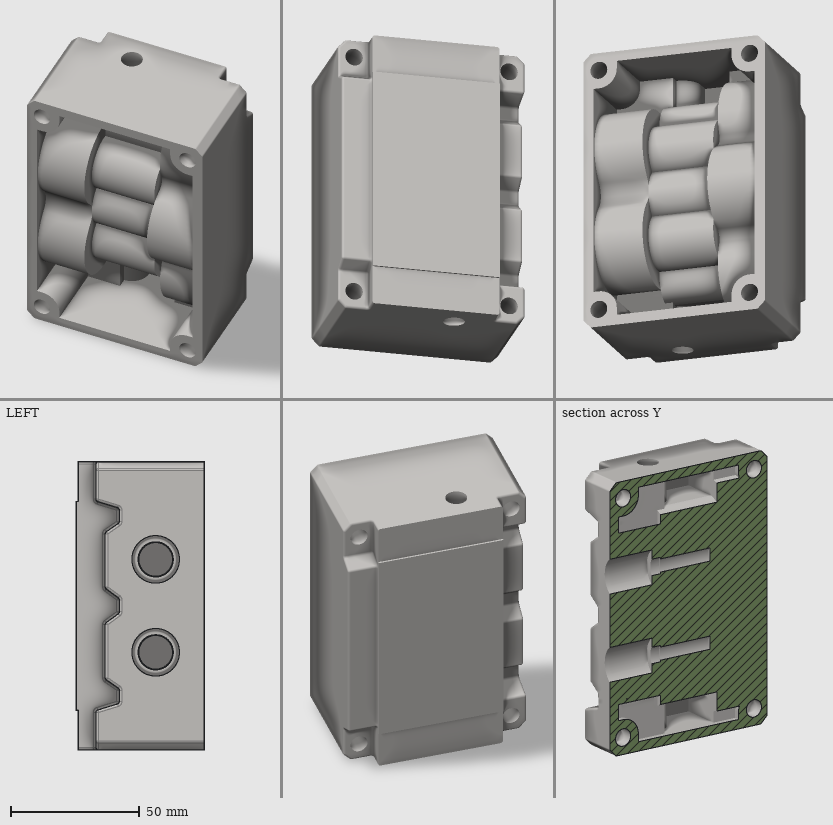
import cadquery as cq
import math


width = 75.0
height = 112.4
depth = 50.0
core_half_z = 40.7
pad_rise = 0.8
back_y = depth - pad_rise
corner_chamfer = 3.0
edge_radius = 1.0
ridge_edge_radius = 0.95
margin = 0.1

step_inner_x = 25.5
shelf_y = 42.3
notch_y = 33.2
tab_y = 38.7
ridge_y = 48.2
slant_start_z = 40.8
slant_end_z = 38.0
tab_outer_root_z = 32.4
tab_outer_top_z = 28.5
tab_inner_top_z = 6.9
tab_inner_root_z = 2.8

cavity_half_x = 33.3
cavity_half_z = 52.2
floor_y = 27.0
channel_floor_y = 43.8
channel_left_x = -10.0
left_mid_x = -13.4
mid_right_x = 13.4

screw_x = 31.1
screw_z = 49.1
screw_diameter = 7.0
screw_boss_radius = 7.4

port_z = 18.1
port_y = 19.0
port_boss_radius = 18.2
port_valley_radius = 7.2
sleeve_radius = 11.2
outer_sleeve_radius = 10.3
outer_sleeve_z = 30.6
outer_sleeve_y = 30.9
outer_boss_radius = 18.0
outer_boss_z = 30.0
outer_boss_y = 31.1
outer_valley_radius = 4.0

port_diameter = 18.5
port_depth = 20.0
passage_diameter = 13.7
seat_diameter = 13.2
seat_end_x = 10.0
pilot_x = channel_left_x
pilot_y = 38.1
pilot_diameter = 8.5
pilot_depth = 20.0
pilot_wall_radius = 7.3


def box(x0, x1, y0, y1, z0, z1):
    """Block between two opposite corners."""
    return cq.Workplane("XY").box(x1 - x0, y1 - y0, z1 - z0, centered=False).translate((x0, y0, z0))


def x_cylinder(x0, x1, y, z, radius):
    """Cylinder along X."""
    return cq.Workplane("YZ", origin=(x0, y, z)).circle(radius).extrude(x1 - x0)


def z_cylinder(x, y, z0, z1, radius):
    """Cylinder along Z."""
    return cq.Workplane("XY", origin=(x, y, z0)).circle(radius).extrude(z1 - z0)


def side_cut(x0, x1, upper_profile):
    """Material behind a step whose (y, z) profile is mirrored about Z = 0."""
    lower_profile = [(y, -z) for y, z in reversed(upper_profile)]
    beyond = height
    outline = [(beyond, beyond), (shelf_y, beyond)] + upper_profile + lower_profile
    outline += [(shelf_y, -beyond), (beyond, -beyond)]
    return cq.Workplane("YZ", origin=(x0, 0, 0)).polyline(outline).close().extrude(x1 - x0)


def outer_body():
    """Rounded block with both back steps and the mounting pad."""
    half_x = width / 2
    half_z = height / 2
    block = box(-half_x, half_x, 0, back_y, -half_z, half_z)
    block = block.edges("|Y").chamfer(corner_chamfer)
    block = block.edges("|Y").fillet(edge_radius)

    notch_profile = [
        (shelf_y, slant_start_z),
        (notch_y, slant_end_z),
        (notch_y, tab_outer_root_z),
        (tab_y, tab_outer_top_z),
        (tab_y, tab_inner_top_z),
        (notch_y, tab_inner_root_z),
    ]
    ridge_profile = [(shelf_y, slant_start_z), (ridge_y, slant_end_z)]
    block = block.cut(side_cut(-half_x - margin, -step_inner_x, notch_profile))
    block = block.cut(side_cut(step_inner_x, half_x + margin, ridge_profile))

    block = round_step(block, -half_x, -step_inner_x, edge_radius)
    block = round_step(block, step_inner_x, half_x, ridge_edge_radius)

    pad = box(-step_inner_x, step_inner_x, back_y, depth, -core_half_z, core_half_z)
    return block.union(pad)


def round_step(block, x0, x1, radius):
    """Round every edge of the step lying between x0 and x1."""
    low = (x0 - margin, notch_y - margin, -height)
    high = (x1 + margin, back_y - margin, height)
    return block.edges(cq.selectors.BoxSelector(low, high)).fillet(radius)


def cavity():
    """Open front space: two shallow floors, a deeper middle channel and four solid corners."""
    half_x = cavity_half_x
    half_z = cavity_half_z
    space = box(-half_x, half_x, 0, floor_y, -half_z, half_z)
    space = space.union(box(channel_left_x, mid_right_x, 0, channel_floor_y, -half_z, half_z))
    for sign_x in (-1, 1):
        for sign_z in (-1, 1):
            space = space.cut(screw_corner(sign_x, sign_z))
    return space


def screw_corner(sign_x, sign_z):
    """Block filling a cavity corner, its free edge concentric with the screw hole."""
    inner_x = screw_x - screw_boss_radius
    inner_z = screw_z - screw_boss_radius
    x0, x1 = sorted((sign_x * inner_x, sign_x * width / 2))
    z0, z1 = sorted((sign_z * inner_z, sign_z * height / 2))
    free_edge = (sign_x * inner_x, 0, sign_z * inner_z)
    corner = box(x0, x1, 0, depth, z0, z1)
    corner = corner.edges("|Y").edges(cq.selectors.NearestToPointSelector(free_edge))
    return corner.fillet(screw_boss_radius)


def with_mirror(solid):
    """The solid joined with its mirror image about Z = 0."""
    return solid.union(solid.mirror("XY"))


def valley(x0, x1, first, second, valley_radius):
    """Material blending two walls, each given as (y, z, radius), by a concave arc on their front side."""
    y1, z1, radius1 = first
    y2, z2, radius2 = second
    span = math.hypot(y2 - y1, z2 - z1)
    reach1 = radius1 + valley_radius
    reach2 = radius2 + valley_radius
    along = (span**2 + reach1**2 - reach2**2) / (2 * span)
    across = math.sqrt(reach1**2 - along**2)
    dir_y = (y2 - y1) / span
    dir_z = (z2 - z1) / span
    arc_y = y1 + along * dir_y - across * dir_z
    arc_z = z1 + along * dir_z + across * dir_y
    corners = [(y1, z1), (y2, z2), (arc_y, arc_z)]
    filler = cq.Workplane("YZ", origin=(x0, 0, 0)).polyline(corners).close().extrude(x1 - x0)
    return filler.cut(x_cylinder(x0, x1, arc_y, arc_z, valley_radius))


def port_bosses():
    """Two blended walls around the side ports."""
    x0 = -cavity_half_x
    x1 = left_mid_x
    lower = (port_y, -port_z, port_boss_radius)
    upper = (port_y, port_z, port_boss_radius)
    walls = with_mirror(x_cylinder(x0, x1, *upper))
    walls = walls.union(box(x0, x1, port_y, floor_y, -port_z, port_z))
    return walls.union(valley(x0, x1, lower, upper, port_valley_radius))


def sleeves():
    """Three equal walls along the middle and a smaller one outside each end, joined to the channel floor."""
    x0 = left_mid_x
    x1 = mid_right_x
    walls = x_cylinder(x0, x1, port_y, 0, sleeve_radius)
    walls = walls.union(with_mirror(x_cylinder(x0, x1, port_y, port_z, sleeve_radius)))
    walls = walls.union(with_mirror(x_cylinder(x0, x1, outer_sleeve_y, outer_sleeve_z, outer_sleeve_radius)))
    walls = walls.union(box(x0, x1, port_y, channel_floor_y, -port_z, port_z))
    walls = walls.union(box(x0, x1, outer_sleeve_y, channel_floor_y, -core_half_z, core_half_z))
    return walls.intersect(box(x0, x1, 0, channel_floor_y, -core_half_z, core_half_z))


def right_bosses():
    """A central wall blended into a deeper one on each side."""
    x0 = mid_right_x
    x1 = cavity_half_x
    central = (port_y, 0, port_boss_radius)
    outer = (outer_boss_y, outer_boss_z, outer_boss_radius)
    walls = x_cylinder(x0, x1, *central)
    walls = walls.union(with_mirror(x_cylinder(x0, x1, *outer)))
    walls = walls.union(with_mirror(valley(x0, x1, central, outer, outer_valley_radius)))
    return walls.intersect(box(x0, x1, 0, floor_y, -cavity_half_z, cavity_half_z))


def pilot_wall():
    """Round wall along Z around the pilot bores, standing in the middle channel."""
    end_z = cavity_half_z
    wall = z_cylinder(pilot_x, pilot_y, -end_z, end_z, pilot_wall_radius)
    web = box(pilot_x, pilot_x + pilot_wall_radius, pilot_y, channel_floor_y, -end_z, end_z)
    return wall.union(web)


def port_bore():
    """Upper side port: wide entry, passage and slightly smaller seat."""
    face_x = -width / 2
    bore = x_cylinder(face_x, face_x + port_depth, port_y, port_z, port_diameter / 2)
    bore = bore.union(x_cylinder(face_x, left_mid_x, port_y, port_z, passage_diameter / 2))
    return bore.union(x_cylinder(face_x, seat_end_x, port_y, port_z, seat_diameter / 2))


def screw_holes():
    """Four through holes along Y in the corners."""
    centres = [(sx * screw_x, sz * screw_z) for sx in (-1, 1) for sz in (-1, 1)]
    return cq.Workplane("XZ").pushPoints(centres).circle(screw_diameter / 2).extrude(-depth)


result = outer_body().cut(cavity())
for walls in (port_bosses(), sleeves(), right_bosses(), pilot_wall()):
    result = result.union(walls)
pilot_bore = z_cylinder(pilot_x, pilot_y, height / 2 - pilot_depth, height / 2, pilot_diameter / 2)
for bore in (with_mirror(port_bore()), with_mirror(pilot_bore), screw_holes()):
    result = result.cut(bore)